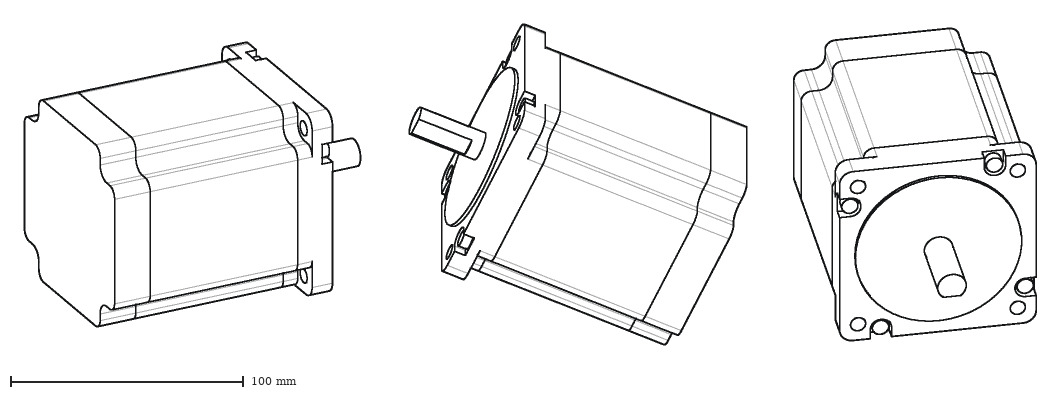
import cadquery as cq
import math

SIDE = 86.0
HALF_SIDE = SIDE / 2
QUARTER_COUNT = 4

ARC_MIDDLE = 1 - math.sqrt(0.5)

REAR_COVER_END = 17.1
STATOR_END = 88.1
CORNER_CUT_END = 95.1
FLANGE_END = 105.0
BOSS_END = 106.5
SHAFT_TIP = 137.0

FLANGE_CORNER_RADIUS = 5.9
CUT_SIZE = 13.7
CUT_INNER_RADIUS = 6.0
CUT_EDGE_RADIUS = 4.5

HOLE_DIAMETER = 6.6
HOLE_INSET = 8.1

BOSS_DIAMETER = 72.7
SHAFT_DIAMETER = 12.5
FLAT_DISTANCE = 5.0
FLAT_LENGTH = 25.1

SCREW_X = -25.0
SCREW_Z = 38.4
SCREW_HEAD_DIAMETER = 7.1
SCREW_HEAD_LENGTH = 4.1
SLOT_WIDTH = 9.3
SLOT_DEPTH = 5.1
SLOT_FLOOR = FLANGE_END - SLOT_DEPTH


def section_plane(y):
    """Plane across the shaft at station y: local x is X, local y is Z, negative extrusions go toward +Y."""
    return cq.Workplane(cq.Plane(origin=(0, y, 0), xDir=(1, 0, 0), normal=(0, -1, 0)))


def cylinder(diameter, start, end, x=0, z=0):
    return section_plane(start).center(x, z).circle(diameter / 2).extrude(start - end)


def quarter_turn(body, turns):
    return body.rotate((0, 0, 0), (0, 1, 0), 90 * turns)


def corner_cut(start, end):
    """Stepped cut along the +X +Z edge, with a round inner corner and rounded outer edges."""
    wall = HALF_SIDE - CUT_SIZE
    bend = CUT_EDGE_RADIUS * ARC_MIDDLE
    bottom = wall - CUT_EDGE_RADIUS
    shoulder = HALF_SIDE - CUT_EDGE_RADIUS
    hollow = wall + CUT_INNER_RADIUS
    hollow_mid = wall + CUT_INNER_RADIUS * ARC_MIDDLE
    return (
        section_plane(start)
        .moveTo(bottom, HALF_SIDE)
        .threePointArc((wall - bend, HALF_SIDE - bend), (wall, shoulder))
        .lineTo(wall, hollow)
        .threePointArc((hollow_mid, hollow_mid), (hollow, wall))
        .lineTo(shoulder, wall)
        .threePointArc((HALF_SIDE - bend, wall - bend), (HALF_SIDE, bottom))
        .lineTo(HALF_SIDE, HALF_SIDE)
        .close()
        .extrude(start - end)
    )


def square_block(start, end):
    return section_plane(start).rect(SIDE, SIDE).extrude(start - end)


def notch_corners(block, start, end):
    cut = corner_cut(start, end)
    for turns in range(QUARTER_COUNT):
        block = block.cut(quarter_turn(cut, turns))
    return block


def notched_block(start, end):
    return notch_corners(square_block(start, end), start, end)


def shaft():
    """Shaft with a flat on its -Z side that stops short of the boss."""
    flat = (
        section_plane(SHAFT_TIP - FLAT_LENGTH)
        .center(0, -FLAT_DISTANCE - SHAFT_DIAMETER / 2)
        .rect(SHAFT_DIAMETER, SHAFT_DIAMETER)
        .extrude(-FLAT_LENGTH)
    )
    return cylinder(SHAFT_DIAMETER, BOSS_END, SHAFT_TIP).cut(flat)


def screw_slot():
    """Slot round the +Z screw: a half-round inner end, open through the +Z side and the front."""
    round_end = cylinder(SLOT_WIDTH, SLOT_FLOOR, FLANGE_END, SCREW_X, SCREW_Z)
    opening_length = HALF_SIDE - SCREW_Z
    opening = (
        section_plane(SLOT_FLOOR)
        .center(SCREW_X, SCREW_Z + opening_length / 2)
        .rect(SLOT_WIDTH, opening_length)
        .extrude(-SLOT_DEPTH)
    )
    return round_end.union(opening)


def front_flange():
    """Front flange with the boss and shaft on it, mounting holes and screw slots."""
    flange = square_block(STATOR_END, FLANGE_END).edges("|Y").fillet(FLANGE_CORNER_RADIUS)
    flange = notch_corners(flange, STATOR_END, CORNER_CUT_END)
    hole_center = HALF_SIDE - HOLE_INSET
    hole = cylinder(HOLE_DIAMETER, CORNER_CUT_END, FLANGE_END, hole_center, hole_center)
    slot = screw_slot()
    for turns in range(QUARTER_COUNT):
        flange = flange.cut(quarter_turn(hole, turns))
        flange = flange.cut(quarter_turn(slot, turns))
    boss = cylinder(BOSS_DIAMETER, FLANGE_END, BOSS_END)
    return flange.union(boss).union(shaft())


def cap_screw(turns):
    """Screw head standing on the slot floor, turned about the shaft to its own side."""
    head_end = SLOT_FLOOR + SCREW_HEAD_LENGTH
    head = cylinder(SCREW_HEAD_DIAMETER, SLOT_FLOOR, head_end, SCREW_X, SCREW_Z)
    return quarter_turn(head, turns)


rear_cover = notched_block(0, REAR_COVER_END)
stator = notched_block(REAR_COVER_END, STATOR_END)
flange = front_flange()
screws = [cap_screw(turns) for turns in range(QUARTER_COUNT)]

result = cq.Compound.makeCompound(
    [rear_cover.val(), stator.val(), flange.val(), *[screw.val() for screw in screws]]
)